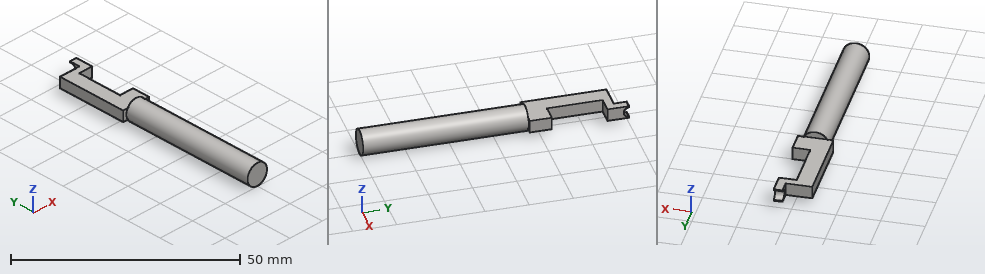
import cadquery as cq

total_length = 60.0
shank_diameter = 6.0
shank_length = 37.5
head_width = 8.0
head_thickness = 3.0

base_length = 5.0
arm_right_x = 0.0
tip_width = 2.0
tip_length = 2.95
bridge_length = 2.0

notch_radius = 1.2
notch_center_depth_left = 0.55
notch_center_depth_right = 0.0
notch_overrun = 0.6

tip_y = total_length / 2
shank_start_y = -total_length / 2
head_start_y = shank_start_y + shank_length
base_end_y = head_start_y + base_length
arm_end_y = tip_y - tip_length
bridge_start_y = arm_end_y - bridge_length
right_x = head_width / 2
left_x = -right_x
tip_left_x = right_x - tip_width


def make_shank():
    start = cq.Workplane("XZ", origin=(0, shank_start_y, 0))
    return start.circle(shank_diameter / 2).extrude(-shank_length)


def make_head():
    outline = [
        (left_x, head_start_y),
        (right_x, head_start_y),
        (right_x, base_end_y),
        (arm_right_x, base_end_y),
        (arm_right_x, bridge_start_y),
        (right_x, bridge_start_y),
        (right_x, tip_y),
        (tip_left_x, tip_y),
        (tip_left_x, arm_end_y),
        (left_x, arm_end_y),
    ]
    return cq.Workplane("XY").polyline(outline).close().extrude(head_thickness / 2, both=True)


def notch_profile(x, center_depth):
    """U-shaped wire at the given X, open end beyond the tip."""
    center_y = tip_y - center_depth
    open_y = tip_y + notch_overrun
    return (
        cq.Workplane("YZ", origin=(x, 0, 0))
        .moveTo(open_y, notch_radius)
        .lineTo(center_y, notch_radius)
        .threePointArc((center_y - notch_radius, 0), (center_y, -notch_radius))
        .lineTo(open_y, -notch_radius)
        .close()
        .val()
    )


def make_notch():
    left_profile = notch_profile(tip_left_x, notch_center_depth_left)
    right_profile = notch_profile(right_x, notch_center_depth_right)
    return cq.Workplane(cq.Solid.makeLoft([left_profile, right_profile], True))


result = make_shank().union(make_head()).cut(make_notch())